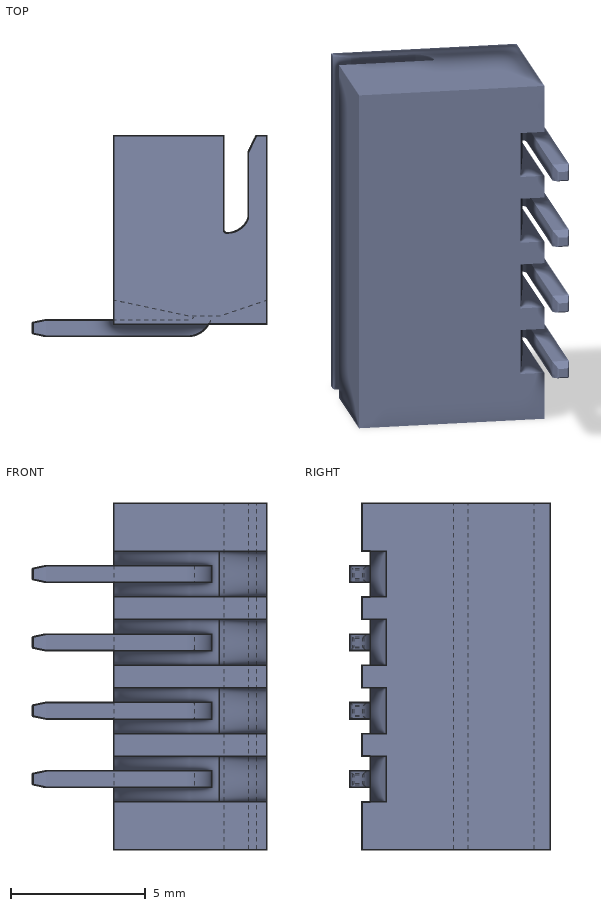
import cadquery as cq
import math


pin_count = 4
pitch = 2.54
body_width = 5.70
body_depth = 7.00
body_height = 12.88

pocket_height = 1.70
pocket_edge_depth = 0.90
pocket_crest_depth = 0.30
crest_start = 2.83
crest_end = 3.92

slot_start = 4.10
slot_width = 0.90
slot_depth = 3.61
slot_small_fillet = 0.10
slot_floor_radius = 0.83
slot_floor_run = 0.78
lead_in_width = 0.30
lead_in_depth = 0.61

pin_size = 0.62
pin_drop = 0.46
pin_reach = 3.03
pin_tip_length = 0.52
pin_tip_size = 0.40
pin_tip_chamfer = 0.04
bend_outer_radius = 0.90
pin_end_x = 3.65
pin_embed = 2.00

pin_levels = [(i - (pin_count - 1) / 2) * pitch for i in range(pin_count)]


def extrude_centred(profile, height, level=0):
    """Extrude a closed XY profile along Z, equally to both sides of the given level."""
    return profile.extrude(height / 2, both=True).translate((0, 0, level))


def make_body():
    return cq.Workplane("XY").box(body_width, body_depth, body_height, centered=(False, False, True))


def make_pocket(level):
    """Pocket whose floor rises from both ends to a flat crest."""
    profile = (
        cq.Workplane("XY")
        .moveTo(0, 0)
        .lineTo(0, pocket_edge_depth)
        .lineTo(crest_start, pocket_crest_depth)
        .lineTo(crest_end, pocket_crest_depth)
        .lineTo(body_width, pocket_edge_depth)
        .lineTo(body_width, 0)
        .close()
    )
    return extrude_centred(profile, pocket_height, level)


def make_key_slot():
    """Slot through the full height, with a rounded floor and a lead-in at the mouth."""
    slot_end = slot_start + slot_width
    floor_y = body_depth - slot_depth
    arc_start = slot_end - slot_floor_run
    arc_centre_y = floor_y + slot_floor_radius
    arc_end_y = arc_centre_y - math.sqrt(slot_floor_radius**2 - slot_floor_run**2)
    profile = (
        cq.Workplane("XY")
        .moveTo(slot_start, body_depth)
        .lineTo(slot_start, floor_y + slot_small_fillet)
        .radiusArc((slot_start + slot_small_fillet, floor_y), -slot_small_fillet)
        .lineTo(arc_start, floor_y)
        .radiusArc((slot_end, arc_end_y), -slot_floor_radius)
        .lineTo(slot_end, body_depth - lead_in_depth)
        .lineTo(slot_end + lead_in_width, body_depth)
        .close()
    )
    return extrude_centred(profile, body_height)


def make_pin(level):
    """Square pin bent from the -X direction up into the housing, with a tapered tip chamfered at its end."""
    bottom = -pin_drop
    top = bottom + pin_size
    shank_start = -pin_reach + pin_tip_length
    bend_start = pin_end_x - bend_outer_radius
    bend_end_y = bottom + bend_outer_radius
    bend_inner_radius = bend_outer_radius - pin_size
    profile = (
        cq.Workplane("XY")
        .moveTo(shank_start, bottom)
        .lineTo(bend_start, bottom)
        .radiusArc((pin_end_x, bend_end_y), -bend_outer_radius)
        .lineTo(pin_end_x, pin_embed)
        .lineTo(pin_end_x - pin_size, pin_embed)
        .lineTo(pin_end_x - pin_size, bend_end_y)
        .radiusArc((bend_start, top), bend_inner_radius)
        .lineTo(shank_start, top)
        .close()
    )
    shank = extrude_centred(profile, pin_size, level)
    tip = (
        cq.Workplane("YZ", origin=(shank_start, bottom + pin_size / 2, level))
        .rect(pin_size, pin_size)
        .workplane(offset=-pin_tip_length)
        .rect(pin_tip_size, pin_tip_size)
        .loft(ruled=True)
        .faces("<X")
        .chamfer(pin_tip_chamfer)
    )
    return shank.union(tip)


result = make_body().cut(make_key_slot())
for pin_level in pin_levels:
    result = result.cut(make_pocket(pin_level)).union(make_pin(pin_level))